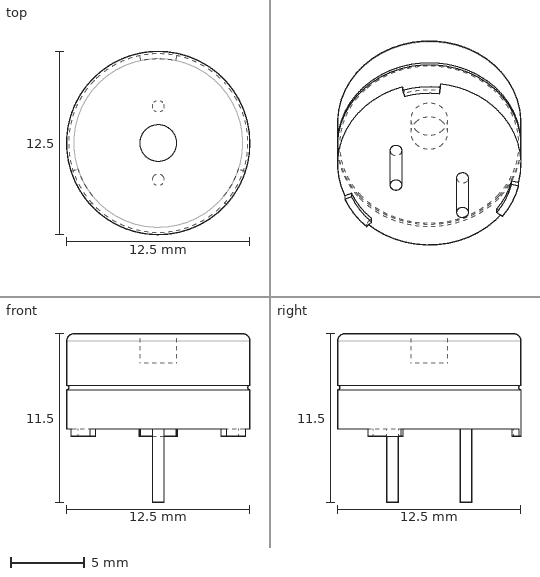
import cadquery as cq

body_diameter = 12.5
body_radius = body_diameter / 2
body_height = 6.5
top_edge_radius = 0.5

groove_radius = 0.15
groove_height = 2.82

hole_diameter = 2.5
hole_depth = 2

foot_count = 3
foot_drop = 0.5
foot_width = 0.5
foot_angle = 24
first_foot_angle = 90
foot_inner_radius = body_radius - foot_width
foot_pitch = 360 / foot_count

pin_diameter = 0.8
pin_length = 5
pin_spacing = 5

cut_margin = 0.62


def make_body():
    """Turned body with groove and rounded top edge, reaching down to the tips of the feet."""
    profile = (
        cq.Workplane("XZ")
        .moveTo(0, -foot_drop)
        .lineTo(body_radius, -foot_drop)
        .lineTo(body_radius, groove_height - groove_radius)
        .threePointArc(
            (body_radius - groove_radius, groove_height),
            (body_radius, groove_height + groove_radius),
        )
        .lineTo(body_radius, body_height)
        .lineTo(0, body_height)
        .close()
    )
    body = profile.revolve(360, (0, 0), (0, 1))
    return body.faces(">Z").edges().fillet(top_edge_radius)


def make_sound_hole():
    """Cutter for the blind hole in the top face."""
    top_plane = cq.Workplane("XY").workplane(offset=body_height)
    return top_plane.circle(hole_diameter / 2).extrude(-hole_depth)


def make_foot_recess():
    """Cutter that clears the space inside the ring of feet."""
    return cq.Workplane("XY").circle(foot_inner_radius).extrude(-foot_drop)


def make_foot_gap(start_angle):
    """Cutter that clears the rim from the end of one foot to the start of the next."""
    outer_reach = body_radius + cut_margin
    gap = (
        cq.Workplane("XZ")
        .moveTo(0, 0)
        .lineTo(outer_reach, 0)
        .lineTo(outer_reach, -foot_drop)
        .lineTo(0, -foot_drop)
        .close()
        .revolve(foot_pitch - foot_angle, (0, 0), (0, -1))
    )
    return gap.rotate((0, 0, 0), (0, 0, 1), start_angle + foot_pitch - foot_angle)


def make_pins():
    """Pair of pins hanging from the underside."""
    pin_places = [(0, -pin_spacing / 2), (0, pin_spacing / 2)]
    return cq.Workplane("XY").pushPoints(pin_places).circle(pin_diameter / 2).extrude(-pin_length)


result = make_body().cut(make_sound_hole()).cut(make_foot_recess())
for foot_index in range(foot_count):
    foot_middle = first_foot_angle + foot_index * foot_pitch
    result = result.cut(make_foot_gap(foot_middle + foot_angle / 2))
result = result.union(make_pins())